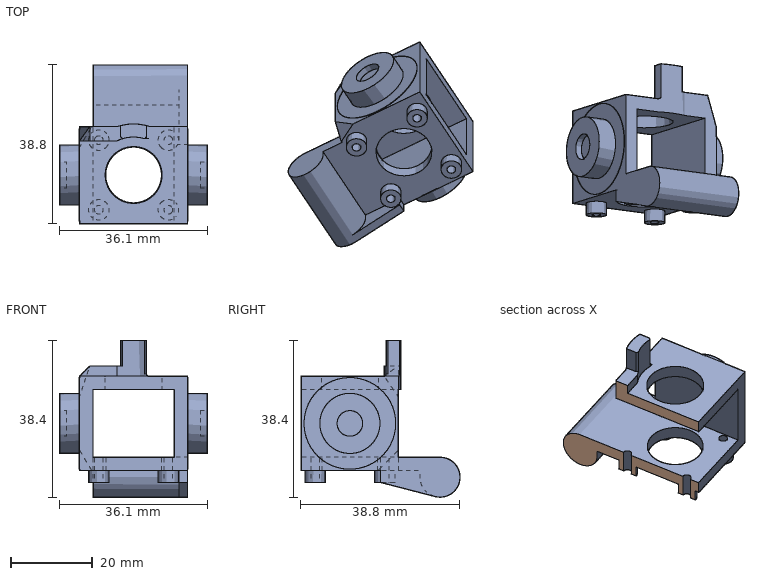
import cadquery as cq
import math


wall = 3.3
housing_width = 26.4
housing_height = 23.1
housing_front = -11.925
housing_back = 11.825
half_width = housing_width / 2
half_height = housing_height / 2

top_bore_radius = 6.95
bottom_bore_radius = 6.8

pad_radius = 11.2
pad_height = 0.1
trunnion_radius = 7.35
trunnion_span = 36.1
socket_radius = 3.125
socket_depth = 1.65

foot_radius = 2.5
foot_height = 2.9
foot_offset = 8.5
foot_hole_radius = 1.05

barrel_radius = 4.9
barrel_y = housing_back + 10.2
barrel_z = wall - half_height - barrel_radius
arm_left = wall - half_width
gusset_thickness = 2.1
gusset_front = 7.5
gusset_tip_z = -half_height - foot_height

shelf_front = 8.35
shelf_height = 2.5
shelf_top = half_height + shelf_height
tab_inner_radius = 9.27
tab_outer_radius = 12.47
tab_half_width = 3.15
tab_top = 20.3
tab_chamfer = 0.45
tab_fillet = 0.5

top_corner_run = shelf_height
bottom_corner_run = 3.0
corner_drop = 5.0


def box_between(x_range, y_range, z_range):
    size = [high - low for low, high in (x_range, y_range, z_range)]
    corner = (x_range[0], y_range[0], z_range[0])
    return cq.Workplane("XY").box(*size, centered=False).translate(corner)


def cylinder_z(radius, z_low, z_high, x=0.0, y=0.0):
    return cq.Workplane("XY").workplane(offset=z_low).center(x, y).circle(radius).extrude(z_high - z_low)


def cylinder_x(radius, x_low, x_high):
    return cq.Workplane("YZ").workplane(offset=x_low).circle(radius).extrude(x_high - x_low)


def tetrahedron(apex, p, q, r):
    """Solid with four triangular faces."""
    faces = []
    for corners in ((p, q, r), (apex, p, q), (apex, q, r), (apex, r, p)):
        wire = cq.Wire.makePolygon([cq.Vector(*c) for c in corners], close=True)
        faces.append(cq.Face.makeFromWires(wire))
    return cq.Workplane(cq.Solid.makeSolid(cq.Shell.makeShell(faces)))


def make_housing():
    return box_between(
        (-half_width, half_width), (housing_front, housing_back), (-half_height, half_height)
    )


def make_window():
    return box_between(
        (wall - half_width, half_width - wall),
        (housing_front, housing_back),
        (wall - half_height, half_height - wall),
    )


def make_trunnions():
    pads = cylinder_x(pad_radius, -half_width - pad_height, half_width + pad_height)
    return pads.union(cylinder_x(trunnion_radius, -trunnion_span / 2, trunnion_span / 2))


def make_sockets():
    end = trunnion_span / 2
    left = cylinder_x(socket_radius, -end, socket_depth - end)
    return left.union(cylinder_x(socket_radius, end - socket_depth, end))


def make_arm():
    """Barrel hung below a flat plate, which overlaps the back edge of the bottom wall."""
    barrel_front = barrel_y - barrel_radius
    profile = (
        cq.Workplane("YZ").workplane(offset=arm_left)
        .moveTo(housing_back - wall, wall - half_height)
        .lineTo(barrel_y, wall - half_height)
        .threePointArc((barrel_y + barrel_radius, barrel_z), (barrel_y, barrel_z - barrel_radius))
        .threePointArc(
            (barrel_y - barrel_radius * math.sqrt(0.5), barrel_z - barrel_radius * math.sqrt(0.5)),
            (barrel_front, barrel_z),
        )
        .lineTo(barrel_front, -half_height)
        .lineTo(housing_back - wall, -half_height)
        .close()
    )
    return profile.extrude(half_width - arm_left)


def make_gusset():
    """Web under the housing whose lower edge runs tangent onto the barrel."""
    reach_y = barrel_y - gusset_front
    reach_z = barrel_z - gusset_tip_z
    to_center = math.atan2(reach_z, reach_y)
    edge_angle = to_center - math.asin(barrel_radius / math.hypot(reach_y, reach_z))
    tangent_point = (
        barrel_y + barrel_radius * math.sin(edge_angle),
        barrel_z - barrel_radius * math.cos(edge_angle),
    )
    return (
        cq.Workplane("YZ").workplane(offset=half_width - gusset_thickness)
        .moveTo(gusset_front, -half_height)
        .lineTo(gusset_front, gusset_tip_z)
        .lineTo(*tangent_point)
        .lineTo(barrel_y, barrel_z)
        .lineTo(barrel_y, -half_height)
        .close()
        .extrude(gusset_thickness)
    )


def foot_centers():
    return [(x, y) for x in (-foot_offset, foot_offset) for y in (-foot_offset, foot_offset)]


def make_ring(z_low, z_high):
    return cylinder_z(tab_outer_radius, z_low, z_high).cut(cylinder_z(tab_inner_radius, z_low, z_high))


def make_feet():
    z_range = (-half_height - foot_height, -half_height)
    feet = cq.Workplane("XY")
    for x, y in foot_centers():
        feet = feet.union(cylinder_z(foot_radius, *z_range, x, y))
    return feet


def make_foot_holes():
    """Holes through the feet and the bottom wall above them."""
    z_range = (-half_height - foot_height, wall - half_height)
    holes = cq.Workplane("XY")
    for x, y in foot_centers():
        holes = holes.union(cylinder_z(foot_hole_radius, *z_range, x, y))
    return holes


def make_bores():
    top_bore = cylinder_z(top_bore_radius, half_height - wall, half_height)
    return top_bore.union(cylinder_z(bottom_bore_radius, -half_height, wall - half_height))


def make_back_bulge():
    """Lens where the tab's outer cylinder stands proud of the housing back."""
    z_range = (half_height - wall, half_height)
    lens = cylinder_z(tab_outer_radius, *z_range)
    return lens.intersect(box_between((-half_width, half_width), (shelf_front, tab_outer_radius), z_range))


def make_shelf():
    z_range = (half_height, shelf_top)
    straight = box_between((-half_width, -tab_half_width), (shelf_front, housing_back), z_range)
    straight = straight.cut(cylinder_z(tab_inner_radius, *z_range))
    curved_limits = box_between((-tab_outer_radius / 2, 0), (shelf_front, tab_outer_radius), z_range)
    return straight.union(make_ring(*z_range).intersect(curved_limits))


def tab_front_y():
    """Y where the tab's concave face meets its edge chamfers."""
    return math.sqrt(tab_inner_radius**2 - (tab_half_width - tab_chamfer) ** 2)


def make_tab():
    """Curved upright whose two inner edges are chamfered."""
    z_range = (half_height, tab_top)
    edge_y = tab_front_y()
    outline = (
        cq.Workplane("XY").workplane(offset=half_height)
        .moveTo(-tab_half_width, edge_y + tab_chamfer)
        .lineTo(tab_chamfer - tab_half_width, edge_y)
        .lineTo(tab_half_width - tab_chamfer, edge_y)
        .lineTo(tab_half_width, edge_y + tab_chamfer)
        .lineTo(tab_half_width, tab_outer_radius)
        .lineTo(-tab_half_width, tab_outer_radius)
        .close()
        .extrude(tab_top - half_height)
    )
    return outline.intersect(make_ring(*z_range))


def make_tab_fillet():
    """Concave fillet along the foot of the tab's +X side, filling in under the chamfered edge."""
    inner_x = tab_half_width - tab_chamfer
    outer_x = tab_half_width + tab_fillet
    fillet_top = half_height + tab_fillet
    front_y = tab_front_y()
    arc_offset = tab_fillet * math.sqrt(0.5)
    strip = (
        cq.Workplane("XZ").workplane(offset=-front_y)
        .moveTo(inner_x, half_height)
        .lineTo(outer_x, half_height)
        .threePointArc((outer_x - arc_offset, fillet_top - arc_offset), (tab_half_width, fillet_top))
        .lineTo(inner_x, fillet_top)
        .close()
        .extrude(front_y - tab_outer_radius)
    )
    return strip.intersect(make_ring(half_height, shelf_top))


def make_corner_cuts():
    """Material removed from the top and bottom back corners of the -X side."""
    left = -half_width
    slope = (
        cq.Workplane("XZ").workplane(offset=-housing_back)
        .moveTo(left, half_height)
        .lineTo(left + top_corner_run, shelf_top)
        .lineTo(left, shelf_top)
        .close()
        .extrude(housing_back - shelf_front)
    )
    top_corner = tetrahedron(
        (left, housing_back, shelf_top),
        (left + top_corner_run, housing_back, shelf_top),
        (left, shelf_front, half_height),
        (left, housing_back, half_height - corner_drop),
    )
    bottom_corner = tetrahedron(
        (left, housing_back, -half_height),
        (left + bottom_corner_run, housing_back, -half_height),
        (left, housing_back - corner_drop, -half_height),
        (left, housing_back, corner_drop - half_height),
    )
    return [slope, top_corner, bottom_corner]


added_features = (
    make_arm, make_gusset, make_feet, make_back_bulge, make_shelf, make_tab, make_tab_fillet
)

result = make_housing().union(make_trunnions()).cut(make_window())
for make_feature in added_features:
    result = result.union(make_feature())
for make_cutter in (make_sockets, make_foot_holes, make_bores):
    result = result.cut(make_cutter())
for corner in make_corner_cuts():
    result = result.cut(corner)